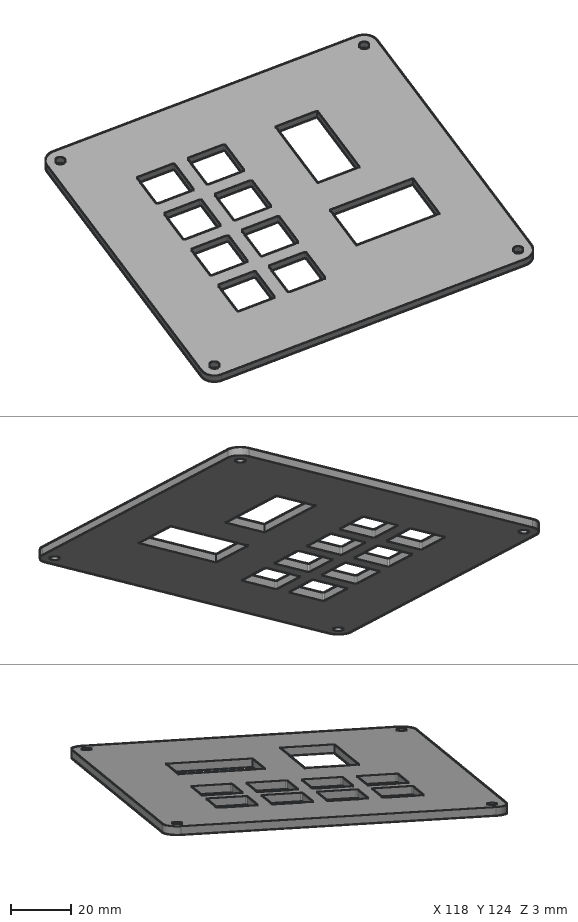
import cadquery as cq

PLATE_WIDTH = 118.0
PLATE_LENGTH = 124.0
PLATE_THICKNESS = 3.0
CORNER_RADIUS = 5.0

HOLE_DIAMETER = 3.3

KEY_SIZE = 14.0
KEY_PITCH = 19.0
KEY_COLUMNS = 4
KEY_ROWS = 2
KEY_CORNER_RADIUS = 0.5
KEY_GRID_CENTER = (0.2, -22.0)

WIDE_WINDOW_SIZE = (29.6, 15.6)
WIDE_WINDOW_CENTER = (-19.6, 21.1)

TALL_WINDOW_SIZE = (18.6, 31.1)
TALL_WINDOW_CENTER = (17.6, 26.4)


def make_plate():
    """Flat plate with rounded vertical corners, resting on Z = 0."""
    plate = cq.Workplane("XY").rect(PLATE_WIDTH, PLATE_LENGTH).extrude(PLATE_THICKNESS)
    return plate.edges("|Z").fillet(CORNER_RADIUS)


def make_mounting_holes():
    """One through-hole cutter at each corner centre."""
    spacing_x = PLATE_WIDTH - 2 * CORNER_RADIUS
    spacing_y = PLATE_LENGTH - 2 * CORNER_RADIUS
    return (
        cq.Workplane("XY")
        .rect(spacing_x, spacing_y, forConstruction=True)
        .vertices()
        .circle(HOLE_DIAMETER / 2)
        .extrude(PLATE_THICKNESS)
    )


def make_key_openings():
    """Grid of square cutters with slightly rounded corners."""
    return (
        cq.Workplane("XY")
        .center(*KEY_GRID_CENTER)
        .rarray(KEY_PITCH, KEY_PITCH, KEY_COLUMNS, KEY_ROWS)
        .rect(KEY_SIZE, KEY_SIZE)
        .extrude(PLATE_THICKNESS)
        .edges("|Z")
        .fillet(KEY_CORNER_RADIUS)
    )


def make_window(size, center):
    """Sharp-cornered rectangular cutter through the plate."""
    return cq.Workplane("XY").center(*center).rect(*size).extrude(PLATE_THICKNESS)


result = (
    make_plate()
    .cut(make_mounting_holes())
    .cut(make_key_openings())
    .cut(make_window(WIDE_WINDOW_SIZE, WIDE_WINDOW_CENTER))
    .cut(make_window(TALL_WINDOW_SIZE, TALL_WINDOW_CENTER))
)